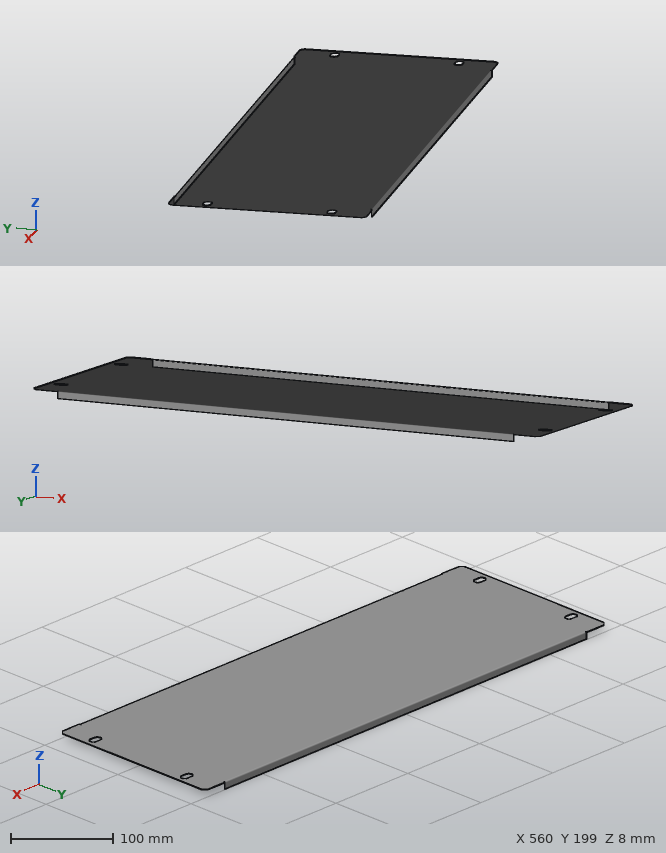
import cadquery as cq

panel_length = 560.0
panel_width = 199.0
total_height = 8.0
sheet_thickness = 1.0
corner_chamfer = 4.0

flange_length = 504.0
bend_inner_radius = 0.5
bend_outer_radius = bend_inner_radius + sheet_thickness

slot_length = 14.0
slot_width = 8.5
slot_edge_distance = 12.5
slot_pitch_y = 125.0
slot_pitch_x = panel_length - 2 * slot_edge_distance


def make_panel():
    """Flat sheet with chamfered corners, its top face at Z = 0."""
    return (
        cq.Workplane("XY")
        .workplane(offset=-sheet_thickness)
        .rect(panel_length, panel_width)
        .extrude(sheet_thickness)
        .edges("|Z")
        .chamfer(corner_chamfer)
    )


def make_folded_channel():
    """Downward-open channel: sheet, two rounded bends and two flanges."""
    outer = (
        cq.Workplane("XY")
        .box(flange_length, panel_width, total_height, centered=(True, True, False))
        .translate((0, 0, -total_height))
        .edges("|X and >Z")
        .fillet(bend_outer_radius)
    )
    inner_width = panel_width - 2 * sheet_thickness
    inner_height = total_height - sheet_thickness
    inner = (
        cq.Workplane("XY")
        .box(flange_length, inner_width, inner_height, centered=(True, True, False))
        .translate((0, 0, -total_height))
        .edges("|X and >Z")
        .fillet(bend_inner_radius)
    )
    return outer.cut(inner)


def make_slots():
    """Four round-ended cutters running along X."""
    return (
        cq.Workplane("XY")
        .rarray(slot_pitch_x, slot_pitch_y, 2, 2)
        .slot2D(slot_length, slot_width)
        .extrude(-sheet_thickness)
    )


folded_zone = cq.Workplane("XY").box(flange_length, panel_width, 2 * total_height)
end_tabs = make_panel().cut(folded_zone)

result = end_tabs.union(make_folded_channel()).cut(make_slots())